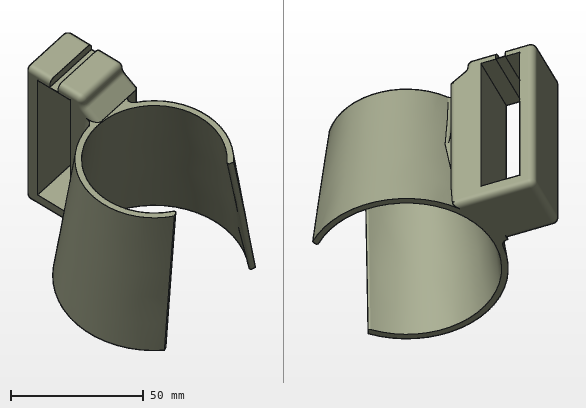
import cadquery as cq
import math

sleeve_height = 65.1
bottom_radius = 38.4
top_radius = 30.0
wall = 2.5
mouth_apex_x = 18.7
mouth_angle = 73
mouth_edge_round = 0.8

block_height = 74.0
block_left = -62.8
block_right = -34.65
block_front = 0
block_width = 25.05
block_back = block_front + block_width
block_end = -27.7
ramp_angle = 35
edge_round = 2.5
joint_round = 3.1
end_joint_round = 2.0

window_left = block_left + 6.0
window_width = 15.9
window_bottom = 6.0
window_height = 64.0
slot_left = block_left + 11.9
slot_width = 3.95
slot_depth = 3.7


def cone(lower_radius, upper_radius):
    """Solid frustum spanning the sleeve height."""
    return cq.Workplane("XY").add(cq.Solid.makeCone(lower_radius, upper_radius, sleeve_height))


def strap_block():
    """Rounded block whose top slopes down to the sleeve rim."""
    ramp_rise = (block_end - block_right) * math.tan(math.radians(ramp_angle))
    block = (
        cq.Workplane("XZ", origin=(0, block_back, 0))
        .moveTo(block_left, 0)
        .lineTo(block_end, 0)
        .lineTo(block_end, sleeve_height)
        .lineTo(block_right, sleeve_height + ramp_rise)
        .lineTo(block_right, block_height)
        .lineTo(block_left, block_height)
        .close()
        .extrude(block_width)
    )
    sharp_edges = cq.selectors.StringSyntaxSelector(">X and |Y")
    end_edges = block.faces(">X").edges(sharp_edges).vals()
    rounded = [e for e in block.edges().vals() if not any(e.isSame(s) for s in end_edges)]
    return block.newObject(rounded).fillet(edge_round)


def strap_opening():
    """Window through the block in Y, with a slot above it that leaves a thin web."""
    window = cq.Workplane("XY").box(window_width, block_width, window_height, centered=False)
    slot = cq.Workplane("XY").box(slot_width, block_width, slot_depth, centered=False)
    window = window.translate((window_left, block_front, window_bottom))
    return window.union(slot.translate((slot_left, block_front, block_height - slot_depth)))


def mouth():
    """Flared opening on the +X side of the sleeve."""
    half_width = bottom_radius
    reach = mouth_apex_x + half_width / math.tan(math.radians(mouth_angle))
    far_x = 2 * bottom_radius
    return (
        cq.Workplane("XY")
        .polyline([
            (mouth_apex_x, 0),
            (reach, half_width),
            (far_x, half_width),
            (far_x, -half_width),
            (reach, -half_width),
        ])
        .close()
        .extrude(sleeve_height)
    )


def tangent_points(center, toward_block, radius):
    """Start, middle and end of the blend arc running from the block face to the sleeve."""
    toward_axis = cq.Vector(-center.x, -center.y, 0).normalized()
    toward_corner = (toward_axis + toward_block).normalized()
    directions = (toward_block, toward_corner, toward_axis)
    return [center + direction * radius for direction in directions]


def blend_wire(arc_points, inner_points):
    """Closed outline of a blend arc and straight sides through the buried inner points."""
    arc = cq.Edge.makeThreePointArc(*arc_points)
    corners = [arc_points[-1], *inner_points, arc_points[0]]
    sides = [cq.Edge.makeLine(start, end) for start, end in zip(corners, corners[1:])]
    return cq.Wire.assembleEdges([arc] + sides)


def front_blend_section(sleeve_radius, height):
    """Fill of the corner between the block front and the sleeve at one height."""
    center_y = block_front - joint_round
    center_x = -math.sqrt((sleeve_radius + joint_round) ** 2 - center_y**2)
    center = cq.Vector(center_x, center_y, height)
    arc_points = tangent_points(center, cq.Vector(0, 1, 0), joint_round)
    block_point, _, sleeve_point = arc_points
    inner_x = sleeve_point.x + wall / 2
    inner_y = block_front + edge_round
    inner_points = [
        cq.Vector(inner_x, sleeve_point.y, height),
        cq.Vector(inner_x, inner_y, height),
        cq.Vector(block_point.x, inner_y, height),
    ]
    return blend_wire(arc_points, inner_points)


def end_blend_section(sleeve_radius, height):
    """Fill of the crevice between the block end face and the sleeve at one height."""
    center_x = block_end + end_joint_round
    center_y = math.sqrt((sleeve_radius + end_joint_round) ** 2 - center_x**2)
    center = cq.Vector(center_x, center_y, height)
    toward_block = cq.Vector(-1, 0, 0)
    arc_points = tangent_points(center, toward_block, end_joint_round)
    crevice = cq.Vector(block_end, math.sqrt(sleeve_radius**2 - block_end**2), height)
    inset = toward_block * (wall / 2)
    return blend_wire(arc_points, [crevice, crevice + inset, arc_points[0] + inset])


def tapered_blend(section):
    """Loft of a blend section from the sleeve foot to its rim."""
    lower = section(bottom_radius, 0)
    upper = section(top_radius, sleeve_height)
    return cq.Workplane("XY").add(cq.Solid.makeLoft([lower, upper], True))


def end_joint_blend():
    """Fillet at the block end face, stopping where its rear edge round starts."""
    blend = tapered_blend(end_blend_section)
    limit = cq.Workplane("XY").box(2 * bottom_radius, block_back - edge_round, block_height, centered=False)
    return blend.intersect(limit.translate((-2 * bottom_radius, 0, 0)))


body = cone(bottom_radius, top_radius).union(strap_block())

body = body.union(tapered_blend(front_blend_section)).union(end_joint_blend())

bore = cone(bottom_radius - wall, top_radius - wall)
body = body.cut(bore).cut(mouth()).cut(strap_opening())

mouth_edges = body.edges(
    cq.selectors.BoxSelector(
        (mouth_apex_x, -bottom_radius, sleeve_height / 4),
        (bottom_radius, bottom_radius, sleeve_height * 3 / 4),
    )
)
inner_edges = mouth_edges.sort(lambda edge: edge.Center().x)[:2]
result = inner_edges.fillet(mouth_edge_round)